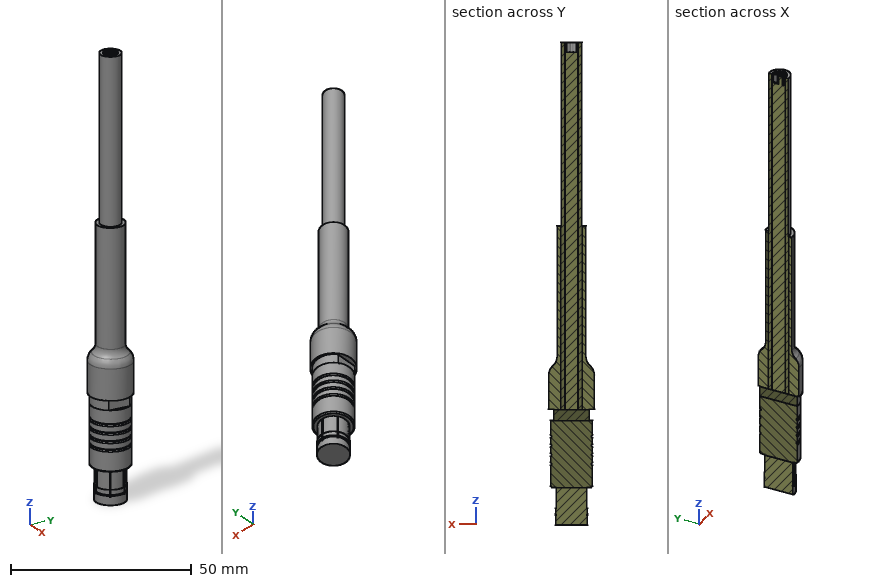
import cadquery as cq
import math

LATCH_RIM_BASE = 2.8
LATCH_BOTTOM = 3.2
LATCH_TOP = 4.7
SHELL_BOTTOM = 10.4
SHELL_TOP = 29.0
BOOT_BOTTOM = 32.0
BOOT_SHOULDER = 41.7
BOOT_NECK = 46.6
BOOT_TOP = 82.8
CABLE_TOP = 133.5

TIP_DIAMETER = 9.2
TIP_NECK_DIAMETER = 9.0
LATCH_ROOT_DIAMETER = 8.8
SLOT_COUNT = 6
SLOT_WIDTH = 0.3
SLOT_DEPTH = 0.4
SLOT_BOTTOM = 2.5
FIRST_SLOT_ANGLE = 30.0

SHELL_DIAMETER = 11.9
SHELL_CHAMFER = 0.4
GROOVE_COUNT = 4
GROOVE_PITCH = 2.5
FIRST_GROOVE_HEIGHT = 17.0
GROOVE_WIDTH = 0.8
GROOVE_ROOT_DIAMETER = 11.2

NUT_DIAMETER = SHELL_DIAMETER
NUT_ACROSS_FLATS = 9.9

BOOT_DIAMETER = 13.0
BOOT_NECK_DIAMETER = 8.4

JACKET_DIAMETER = 6.3
SHIELD_DIAMETER = 4.3
CORE_DIAMETER = 4.0
WRAP_BORE = 3.3
WIRE_COUNT = 5
WIRE_DIAMETER = 1.16
WIRE_BORE = 0.76
WIRE_CIRCLE_RADIUS = 1.0
FIRST_WIRE_ANGLE = -90.0
BARED_LENGTH = 2.7


def cylinder(diameter, bottom, top):
    return cq.Workplane("XY", origin=(0, 0, bottom)).circle(diameter / 2).extrude(top - bottom)


def tube(outer_diameter, inner_diameter, bottom, top):
    return cylinder(outer_diameter, bottom, top).cut(cylinder(inner_diameter, bottom, top))


def spin(profile):
    """Revolve a closed XZ profile around the Z axis."""
    return profile.revolve(360, (0, 0, 0), (0, 1, 0))


def make_tip():
    """Tip whose latch band has a ledge above it and an undercut rim below it."""
    tip_radius = TIP_DIAMETER / 2
    neck_radius = TIP_NECK_DIAMETER / 2
    profile = (
        cq.Workplane("XZ")
        .lineTo(tip_radius, 0)
        .lineTo(tip_radius, LATCH_RIM_BASE)
        .lineTo(LATCH_ROOT_DIAMETER / 2, LATCH_RIM_BASE)
        .lineTo(tip_radius, LATCH_BOTTOM)
        .lineTo(tip_radius, LATCH_TOP)
        .lineTo(neck_radius, LATCH_TOP)
        .lineTo(neck_radius, SHELL_BOTTOM)
        .lineTo(0, SHELL_BOTTOM)
        .close()
    )
    tip = spin(profile)

    slot = (
        cq.Workplane("XY", origin=(tip_radius - SLOT_DEPTH, 0, SLOT_BOTTOM))
        .box(2 * SLOT_DEPTH, SLOT_WIDTH, SHELL_BOTTOM - SLOT_BOTTOM, centered=(False, True, False))
    )
    for index in range(SLOT_COUNT):
        angle = FIRST_SLOT_ANGLE + index * 360 / SLOT_COUNT
        tip = tip.cut(slot.rotate((0, 0, 0), (0, 0, 1), angle))
    return tip


def grip_groove(height):
    """Ring of triangular section that cuts one V groove at the given height."""
    shell_radius = SHELL_DIAMETER / 2
    profile = (
        cq.Workplane("XZ")
        .moveTo(shell_radius, height - GROOVE_WIDTH / 2)
        .lineTo(GROOVE_ROOT_DIAMETER / 2, height)
        .lineTo(shell_radius, height + GROOVE_WIDTH / 2)
        .close()
    )
    return spin(profile)


def make_shell():
    shell = cylinder(SHELL_DIAMETER, SHELL_BOTTOM, SHELL_TOP)
    shell = shell.faces("<Z").chamfer(SHELL_CHAMFER)
    for index in range(GROOVE_COUNT):
        shell = shell.cut(grip_groove(FIRST_GROOVE_HEIGHT + index * GROOVE_PITCH))
    return shell


def make_nut():
    """Round nut trimmed to two flats that face -X and +X."""
    height = BOOT_BOTTOM - SHELL_TOP
    flats = (
        cq.Workplane("XY", origin=(0, 0, SHELL_TOP))
        .box(NUT_ACROSS_FLATS, NUT_DIAMETER, height, centered=(True, True, False))
    )
    return cylinder(NUT_DIAMETER, SHELL_TOP, BOOT_BOTTOM).intersect(flats)


def make_boot():
    """Boot whose shoulder narrows to the neck in two equal tangent arcs."""
    body_radius = BOOT_DIAMETER / 2
    neck_radius = BOOT_NECK_DIAMETER / 2
    bore_radius = JACKET_DIAMETER / 2

    arc_width = (body_radius - neck_radius) / 2
    arc_height = (BOOT_NECK - BOOT_SHOULDER) / 2
    half_angle = math.atan2(arc_width, arc_height)
    arc_radius = arc_height / math.sin(2 * half_angle)
    middle_inset = arc_radius * (1 - math.cos(half_angle))
    middle_rise = arc_radius * math.sin(half_angle)

    profile = (
        cq.Workplane("XZ")
        .moveTo(bore_radius, BOOT_BOTTOM)
        .lineTo(body_radius, BOOT_BOTTOM)
        .lineTo(body_radius, BOOT_SHOULDER)
        .threePointArc(
            (body_radius - middle_inset, BOOT_SHOULDER + middle_rise),
            (body_radius - arc_width, BOOT_SHOULDER + arc_height),
        )
        .threePointArc(
            (neck_radius + middle_inset, BOOT_NECK - middle_rise),
            (neck_radius, BOOT_NECK),
        )
        .lineTo(neck_radius, BOOT_TOP)
        .lineTo(bore_radius, BOOT_TOP)
        .close()
    )
    return spin(profile)


def make_jacket():
    return tube(JACKET_DIAMETER, SHIELD_DIAMETER, BOOT_BOTTOM, CABLE_TOP)


def make_shield():
    return tube(SHIELD_DIAMETER, CORE_DIAMETER, BOOT_BOTTOM, CABLE_TOP)


def make_core():
    """Solid core, hollowed at the cut end around a ring of tubular wire ends."""
    bared_bottom = CABLE_TOP - BARED_LENGTH
    core = cylinder(CORE_DIAMETER, BOOT_BOTTOM, CABLE_TOP)
    core = core.cut(cylinder(WRAP_BORE, bared_bottom, CABLE_TOP))
    wires = (
        cq.Workplane("XY", origin=(0, 0, bared_bottom))
        .polarArray(WIRE_CIRCLE_RADIUS, FIRST_WIRE_ANGLE, 360, WIRE_COUNT)
        .circle(WIRE_DIAMETER / 2)
        .circle(WIRE_BORE / 2)
        .extrude(BARED_LENGTH)
    )
    return core.union(wires)


tip = make_tip()
shell = make_shell()
nut = make_nut()
boot = make_boot()
jacket = make_jacket()
shield = make_shield()
core = make_core()

bodies = (tip, shell, nut, boot, jacket, shield, core)
result = cq.Compound.makeCompound([body.solids().val() for body in bodies])